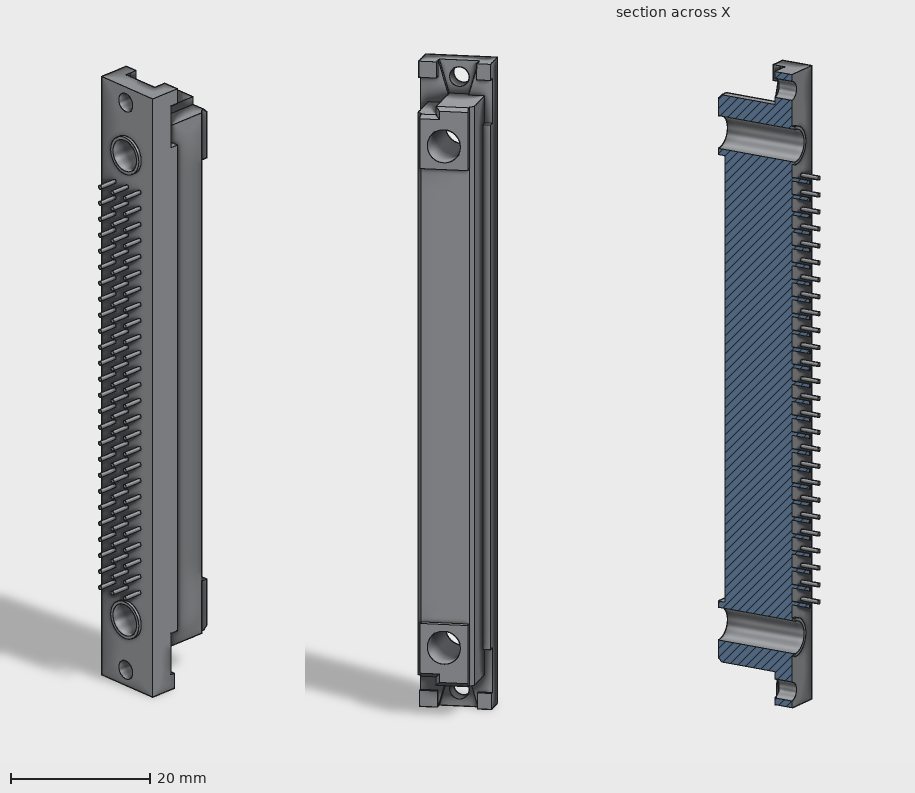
import cadquery as cq

length = 94.9
plate_width = 10.5
overall_depth = 15.5
pin_reach = 2.9
half_length = length / 2

groove_floor = 3.7
rail_back = 4.9
lower_lip_back = 4.4
lip_height = 2.4
rail_end = 8.9
notch_floor = 2.9
notch_width = 5.9
notch_inner_width = 2.9
mount_offset = -0.3

body_width = 8.3
body_back = 11.5
body_end = 4.9
body_chamfer = 0.6
key_edge = 1.2
key_step = 1.2

tab_back = overall_depth - pin_reach
tab_end = 14.0
tab_width = 7.0
tab_chamfer = 0.6

mount_diameter = 2.8
mount_inset = 2.5
guide_diameter = 4.8
guide_inset = 10.6
collar_diameter = 5.8
collar_reach = 0.5
pin_diameter = 0.6
pin_rows = 26
pin_columns = 3
pin_field_length = 63.5
pin_pitch = pin_field_length / (pin_rows - 1)


def box(x_range, y_range, z_range):
    """Axis-aligned box from its limits along X, Y and Z."""
    (x0, x1), (y0, y1), (z0, z1) = x_range, y_range, z_range
    return cq.Workplane("XY").box(x1 - x0, y1 - y0, z1 - z0, centered=False).translate((x0, y0, z0))


def round_bar(diameter, y_range, points):
    """Cylinders along Y at the given (X, Z) points."""
    y0, y1 = y_range
    plane = cq.Workplane("XZ", origin=(0, y0, 0))
    return plane.pushPoints(points).circle(diameter / 2).extrude(y0 - y1)


def make_plate():
    half_width = plate_width / 2
    lip_edge = half_length - lip_height
    rail_edge = half_length - rail_end
    outline = [
        (0, -half_length),
        (lower_lip_back, -half_length),
        (lower_lip_back, -lip_edge),
        (groove_floor, -lip_edge),
        (groove_floor, -rail_edge),
        (rail_back, -rail_edge),
        (rail_back, rail_edge),
        (groove_floor, rail_edge),
        (groove_floor, lip_edge),
        (rail_back, lip_edge),
        (rail_back, half_length),
        (0, half_length),
    ]
    plate = cq.Workplane("YZ", origin=(-half_width, 0, 0)).polyline(outline).close().extrude(plate_width)
    notch = make_notch()
    return plate.cut(notch).cut(notch.mirror("XY"))


def make_notch():
    """Slot through the upper lip whose lower part narrows towards the body."""
    body_top = half_length - body_end
    left = mount_offset - notch_width / 2
    right = mount_offset + notch_width / 2
    inner_left = mount_offset - notch_inner_width / 2
    inner_right = mount_offset + notch_inner_width / 2
    gap = box((left, right), (groove_floor, rail_back), (body_top, half_length))
    channel = (
        cq.Workplane("XZ", origin=(0, groove_floor, 0))
        .polyline([(left, half_length), (right, half_length), (inner_right, body_top), (inner_left, body_top)])
        .close()
        .extrude(groove_floor - notch_floor)
    )
    return gap.union(channel)


def make_connector_end():
    """Tab and end wall of the body: stepped in X and chamfered along the back end edge."""
    half_width = body_width / 2
    bottom = half_length - tab_end
    top = half_length - body_end
    body = box((-half_width, half_width), (groove_floor, body_back), (bottom, top))
    body = body.faces(">Y").edges("|Z").chamfer(body_chamfer)
    tab = box((-tab_width / 2, tab_width / 2), (groove_floor, tab_back), (bottom, top))
    key_cut = box((key_edge, plate_width), (groove_floor, tab_back), (top - key_step, top))
    end = body.union(tab).cut(key_cut)
    back_end_edges = cq.selectors.BoxSelector(
        (-plate_width, tab_back - tab_chamfer / 2, top - key_step - tab_chamfer / 2),
        (plate_width, tab_back + tab_chamfer, top + tab_chamfer),
    )
    return end.faces(">Y").edges(back_end_edges).chamfer(tab_chamfer)


def make_connector():
    half_width = body_width / 2
    straight_end = half_length - tab_end
    core = box((-half_width, half_width), (groove_floor, body_back), (-straight_end, straight_end))
    core = core.faces(">Y").edges("|Z").chamfer(body_chamfer)
    end = make_connector_end()
    return core.union(end).union(end.mirror("XY"))


def make_pins():
    points = [
        ((column - (pin_columns - 1) / 2) * pin_pitch, (row - (pin_rows - 1) / 2) * pin_pitch)
        for column in range(pin_columns)
        for row in range(pin_rows)
    ]
    return round_bar(pin_diameter, (-pin_reach, groove_floor), points)


guide_z = half_length - guide_inset
guide_points = [(0, guide_z), (0, -guide_z)]
mount_z = half_length - mount_inset
mount_points = [(mount_offset, mount_z), (mount_offset, -mount_z)]

result = make_plate().union(make_connector())
result = result.union(round_bar(collar_diameter, (-collar_reach, groove_floor), guide_points))
result = result.cut(round_bar(guide_diameter, (-collar_reach, tab_back), guide_points))
result = result.cut(round_bar(mount_diameter, (0, rail_back), mount_points))
result = result.union(make_pins())